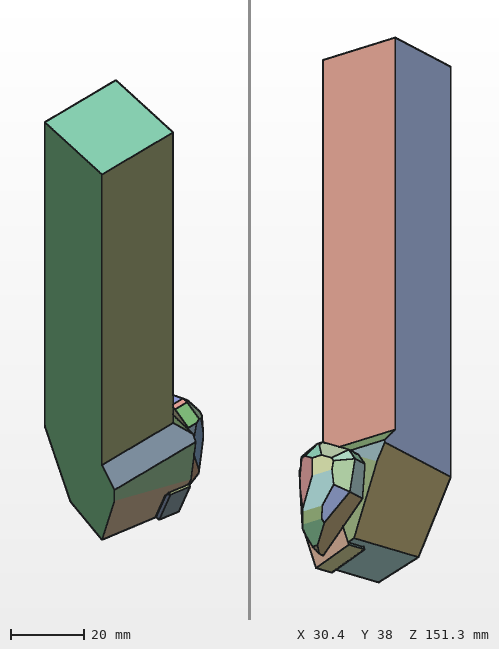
import cadquery as cq
import math

length = 151.3
shank = 25.0
shoulder_z = 34.2

head_width = 30.4
head_depth = 29.6
shoulder_rise = head_width - shank
head_corner_z = shoulder_z - shoulder_rise
head_cut_z = -0.8
relief_angle = 28.0
relief_end_x = (head_corner_z - head_cut_z) * math.tan(math.radians(relief_angle))

nose_x, nose_y, nose_z = 27.0, 25.3, 0.0
seat_slope_x = -0.063
seat_slope_z = 0.12
edge_angle = 15.0
flank_inset = 0.8
large = 90.8

insert_side = 12.7
insert_thickness = 7.5
insert_bevel = 0.9

clamp_top = 38.0
clamp_left = 7.0
clamp_rear_z = 32.2
clamp_root_y = 24.2
clamp_plan = [
    (8.8, 14.8), (clamp_left, 24.2), (9.0, 27.5),
    (18.2, clamp_rear_z), (20.0, clamp_rear_z), (25.7, 29.6), (26.6, 21.2),
    (24.8, 6.0), (24.2, 2.7),
]
clamp_side = [
    (clamp_root_y, 2.7), (27.5, 2.7), (30.3, 4.0), (34.8, 8.9), (36.3, 12.0),
    (clamp_top, 20.9), (clamp_top, 26.2), (34.3, clamp_rear_z),
    (head_depth, clamp_rear_z), (head_depth, head_corner_z), (clamp_root_y, shank),
]
clamp_end = [
    (clamp_left, clamp_root_y), (clamp_left, clamp_top), (18.6, clamp_top),
    (24.4, 36.0), (26.6, 30.3), (26.6, clamp_root_y),
]
clamp_bevel_y = 33.9
clamp_bevel_angle = 45.0


def seat_plane():
    """Plane on the insert nose: local X and Y run along the two cutting edges."""
    angle = math.radians(edge_angle)
    edge_x = -math.cos(angle)
    edge_z = math.sin(angle)
    edge = (edge_x, seat_slope_x * edge_x + seat_slope_z * edge_z, edge_z)
    normal = (-seat_slope_x, 1.0, -seat_slope_z)
    return cq.Plane(origin=(nose_x, nose_y, nose_z), xDir=edge, normal=normal)


def seat_box(inset, side, depth):
    """Square block below the seat, its corner set in from both cutting edges."""
    return (
        cq.Workplane(seat_plane())
        .rect(side, side, centered=False)
        .extrude(-depth)
        .translate(seat_plane().toWorldCoords((inset, inset, 0)) - seat_plane().origin)
    )


def make_shank():
    bar = cq.Workplane("XY", origin=(0, 0, shoulder_z))
    return bar.box(shank, shank, length - shoulder_z, centered=False)


def make_head():
    outline = [
        (0, shoulder_z), (shank, shoulder_z), (head_width, head_corner_z),
        (head_width, head_cut_z), (relief_end_x, head_cut_z), (0, head_corner_z),
    ]
    block = cq.Workplane("XZ").polyline(outline).close().extrude(-head_depth)
    back_shoulder = (
        cq.Workplane("YZ")
        .moveTo(shank, shoulder_z)
        .lineTo(head_depth, shoulder_z - (head_depth - shank))
        .lineTo(head_depth, shoulder_z)
        .close()
        .extrude(head_width)
    )
    return block.cut(back_shoulder)


def make_clamp():
    plan = cq.Workplane("XZ").polyline(clamp_plan).close().extrude(-clamp_bevel_y)
    bevelled_top = (
        cq.Workplane("XZ", origin=(0, clamp_bevel_y, 0))
        .polyline(clamp_plan)
        .close()
        .extrude(clamp_bevel_y - clamp_top, taper=clamp_bevel_angle)
    )
    side = cq.Workplane("YZ").polyline(clamp_side).close().extrude(head_width)
    end = cq.Workplane("XY").polyline(clamp_end).close().extrude(shoulder_z)
    return plan.union(bevelled_top).intersect(side).intersect(end)


def make_insert():
    return seat_box(0, insert_side, insert_thickness).faces("<Y").chamfer(insert_bevel)


def make_holder(insert):
    """Shank, head and clamp in one piece, with a pocket matching the insert."""
    head = make_head().intersect(seat_box(flank_inset, large, large))
    return make_shank().union(head).union(make_clamp()).cut(insert)


insert = make_insert()
holder = make_holder(insert)

result = cq.Compound.makeCompound([holder.val(), insert.val()])